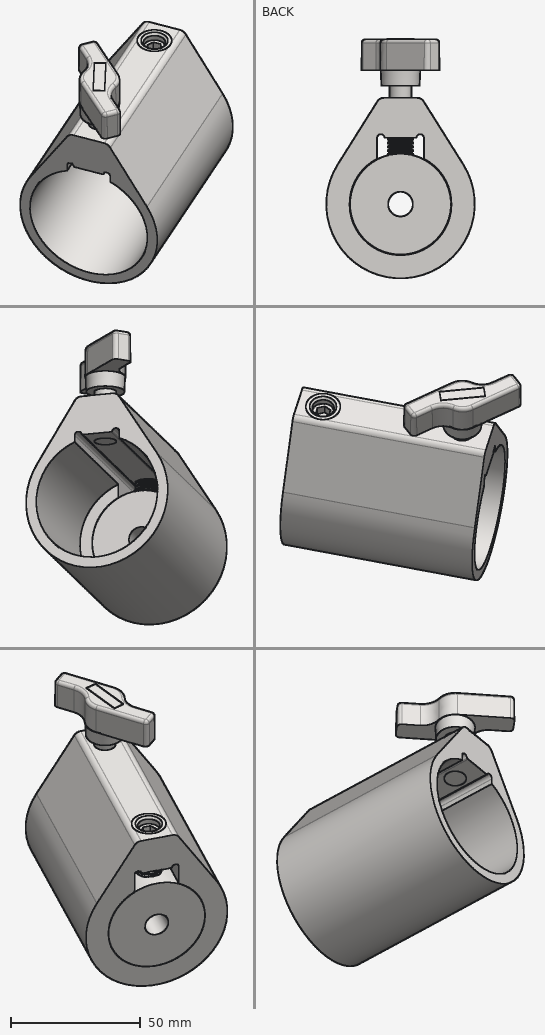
import cadquery as cq
import math

HOUSING_LENGTH = 76.0
OUTER_RADIUS = 28.6
BORE_RADIUS = 24.5
SEAT_RADIUS = 19.6
TOP_Z = 41.0
CORNER_X = 8.0
CORNER_FILLET = 3.0
NOTCH_HALF_WIDTH = 8.95
ROOF_Z = 25.5
RELIEF_RADIUS = 1.4
ROOF_EDGE_FILLET = 0.5

SCREW_TO_REAR = 10.0
INSERT_RADIUS = 6.6
INSERT_LENGTH = 12.0
MOUTH_RADIUS = 5.2
CORE_RADIUS = 4.2
CREST_RADIUS = 5.0
PITCH = 1.5
RIDGE_BASE = 1.1
RIDGE_CREST = 0.3
SCREW_TOP_Z = 37.8
SCREW_END_Z = 17.8
LOWEST_RIDGE_Z = 19.1
HEX_ACROSS_FLATS = 5.2
HEX_DEPTH = 3.7

SPIGOT_RADIUS = 19.5
SPIGOT_HOLE_RADIUS = 4.7

HANDLE_TO_FRONT = 10.9
COLLAR_BOTTOM_Z = 45.5
COLLAR_BOTTOM_RADIUS = 7.4
COLLAR_TOP_RADIUS = 7.7
WING_BOTTOM_Z = 51.5
PLATE_TOP_Z = 63.7
PLATE_HEIGHT = 0.2
PLATE_LENGTH = 17.2
PLATE_WIDTH = 4.4
PLATE_ANGLE = -69.0
WING_ANGLE = -45.0
WING_REACH = 22.3
HUB_RADIUS = 7.8
WING_CORNER_RADIUS = 1.75
WING_DRAFT = 0.6
WING_TOP_FILLET = 1.5

SELECT_MARGIN = 0.1

REAR_Y = HOUSING_LENGTH / 2
FRONT_Y = -HOUSING_LENGTH / 2
SCREW_Y = REAR_Y - SCREW_TO_REAR
INSERT_BOTTOM_Z = TOP_Z - INSERT_LENGTH
SEAT_LENGTH = 2 * SCREW_TO_REAR
HANDLE_Y = FRONT_Y + HANDLE_TO_FRONT
WING_TOP_Z = PLATE_TOP_Z - PLATE_HEIGHT


def cylinder(radius, y, z_low, z_high):
    """Upright cylinder on the middle plane."""
    return cq.Workplane("XY", origin=(0, y, z_low)).circle(radius).extrude(z_high - z_low)


def revolved(profile, y):
    """Solid turned about an upright axis; the profile lists (radius, z) points."""
    return cq.Workplane("XZ", origin=(0, y, 0)).polyline(profile).close().revolve(360, (0, 0), (0, 1))


def section_at(y):
    """Plane across the tube axis; extrusion by a negative length runs toward +Y."""
    return cq.Workplane(cq.Plane(origin=(0, y, 0), xDir=(1, 0, 0), normal=(0, -1, 0)))


def make_housing():
    corner_distance = math.hypot(CORNER_X, TOP_Z)
    tangent_angle = math.atan2(TOP_Z, CORNER_X) - math.acos(OUTER_RADIUS / corner_distance)
    tangent_x = OUTER_RADIUS * math.cos(tangent_angle)
    tangent_z = OUTER_RADIUS * math.sin(tangent_angle)
    body = (
        section_at(FRONT_Y)
        .moveTo(-CORNER_X, TOP_Z)
        .lineTo(CORNER_X, TOP_Z)
        .lineTo(tangent_x, tangent_z)
        .threePointArc((0, -OUTER_RADIUS), (-tangent_x, tangent_z))
        .close()
        .extrude(-HOUSING_LENGTH)
    )
    top_corners = cq.selectors.BoxSelector(
        (-CORNER_X - SELECT_MARGIN, FRONT_Y, TOP_Z - SELECT_MARGIN),
        (CORNER_X + SELECT_MARGIN, REAR_Y, TOP_Z + SELECT_MARGIN),
    )
    body = body.edges("|Y").edges(top_corners).fillet(CORNER_FILLET)

    bore = section_at(FRONT_Y).circle(BORE_RADIUS).extrude(-(HOUSING_LENGTH - SEAT_LENGTH))
    seat = section_at(FRONT_Y).circle(SEAT_RADIUS).extrude(-HOUSING_LENGTH)
    notch = (
        section_at(FRONT_Y)
        .center(0, ROOF_Z / 2)
        .rect(2 * NOTCH_HALF_WIDTH, ROOF_Z)
        .extrude(-HOUSING_LENGTH)
    )
    relief_x = NOTCH_HALF_WIDTH - RELIEF_RADIUS
    reliefs = (
        section_at(FRONT_Y)
        .pushPoints([(-relief_x, ROOF_Z), (relief_x, ROOF_Z)])
        .circle(RELIEF_RADIUS)
        .extrude(-HOUSING_LENGTH)
    )
    body = body.cut(bore).cut(seat).cut(notch).cut(reliefs)
    roof_edge_x = relief_x - RELIEF_RADIUS
    roof_edges = cq.selectors.BoxSelector(
        (-roof_edge_x - SELECT_MARGIN, FRONT_Y, ROOF_Z - SELECT_MARGIN),
        (roof_edge_x + SELECT_MARGIN, REAR_Y, ROOF_Z + SELECT_MARGIN),
    )
    body = body.edges("|Y").edges(roof_edges).fillet(ROOF_EDGE_FILLET)

    insert_hole = cylinder(INSERT_RADIUS, SCREW_Y, INSERT_BOTTOM_Z, TOP_Z)
    screw_hole = cylinder(CREST_RADIUS, SCREW_Y, ROOF_Z, INSERT_BOTTOM_Z)
    stud_hole = cylinder(CORE_RADIUS, HANDLE_Y, ROOF_Z, TOP_Z)
    return body.cut(insert_hole).cut(screw_hole).cut(stud_hole)


def make_set_screw():
    screw = cylinder(CORE_RADIUS, SCREW_Y, SCREW_END_Z, SCREW_TOP_Z)
    ridge_count = 1 + math.floor((SCREW_TOP_Z - RIDGE_BASE / 2 - LOWEST_RIDGE_Z) / PITCH)
    for i in range(ridge_count):
        z = LOWEST_RIDGE_Z + i * PITCH
        ridge = revolved(
            [
                (0, z - RIDGE_BASE / 2),
                (CORE_RADIUS, z - RIDGE_BASE / 2),
                (CREST_RADIUS, z - RIDGE_CREST / 2),
                (CREST_RADIUS, z + RIDGE_CREST / 2),
                (CORE_RADIUS, z + RIDGE_BASE / 2),
                (0, z + RIDGE_BASE / 2),
            ],
            SCREW_Y,
        )
        screw = screw.union(ridge)
    hex_across_corners = HEX_ACROSS_FLATS / math.cos(math.radians(30))
    socket = (
        cq.Workplane("XY", origin=(0, SCREW_Y, SCREW_TOP_Z))
        .polygon(6, hex_across_corners)
        .extrude(-HEX_DEPTH)
    )
    return screw.cut(socket)


def make_insert(screw):
    blank = revolved(
        [
            (CORE_RADIUS, INSERT_BOTTOM_Z),
            (INSERT_RADIUS, INSERT_BOTTOM_Z),
            (INSERT_RADIUS, TOP_Z),
            (MOUTH_RADIUS, TOP_Z),
            (CORE_RADIUS, TOP_Z - (MOUTH_RADIUS - CORE_RADIUS)),
        ],
        SCREW_Y,
    )
    return blank.cut(screw)


def make_spigot():
    spigot = (
        section_at(REAR_Y - SEAT_LENGTH)
        .circle(SPIGOT_RADIUS)
        .circle(SPIGOT_HOLE_RADIUS)
        .extrude(-SEAT_LENGTH)
    )
    return spigot.cut(cylinder(CREST_RADIUS, SCREW_Y, SCREW_END_Z, SPIGOT_RADIUS))


def wing_outline():
    """Point-symmetric outline: a round hub with one wing along each side of it.

    The hollow beside the hub has the hub's radius, so the two arcs meet halfway between their
    centres, 30 degrees from the wing direction.
    """
    hollow_x = 2 * HUB_RADIUS * math.cos(math.radians(30))
    meet = (hollow_x / 2, HUB_RADIUS / 2)
    half_sweep = math.radians(30)
    hollow_mid = (
        hollow_x - HUB_RADIUS * math.sin(half_sweep),
        HUB_RADIUS - HUB_RADIUS * math.cos(half_sweep),
    )
    hub_mid = (HUB_RADIUS * math.sin(half_sweep), HUB_RADIUS * math.cos(half_sweep))

    corner = WING_CORNER_RADIUS
    corner_mid = corner * (1 - math.sqrt(0.5))
    plane = cq.Plane(origin=(0, HANDLE_Y, WING_BOTTOM_Z)).rotated((0, 0, WING_ANGLE))
    outline = cq.Workplane(plane).moveTo(0, -HUB_RADIUS)
    for side in (1, -1):

        def point(x, y):
            return (side * x, side * y)

        outline = (
            outline.lineTo(*point(WING_REACH - corner, -HUB_RADIUS))
            .threePointArc(
                point(WING_REACH - corner_mid, -HUB_RADIUS + corner_mid),
                point(WING_REACH, -HUB_RADIUS + corner),
            )
            .lineTo(*point(WING_REACH, -corner))
            .threePointArc(point(WING_REACH - corner_mid, -corner_mid), point(WING_REACH - corner, 0))
            .lineTo(*point(hollow_x, 0))
            .threePointArc(point(*hollow_mid), point(*meet))
            .threePointArc(point(*hub_mid), point(0, HUB_RADIUS))
        )
    return outline.close()


def make_handle():
    wings = wing_outline().extrude(WING_TOP_Z - WING_BOTTOM_Z, taper=WING_DRAFT)
    wings = wings.faces(">Z").edges().fillet(WING_TOP_FILLET)
    name_plate = (
        cq.Workplane("XY", origin=(0, HANDLE_Y, WING_TOP_Z))
        .transformed(rotate=(0, 0, PLATE_ANGLE))
        .rect(PLATE_LENGTH, PLATE_WIDTH)
        .extrude(PLATE_HEIGHT)
    )
    collar = revolved(
        [
            (0, COLLAR_BOTTOM_Z),
            (COLLAR_BOTTOM_RADIUS, COLLAR_BOTTOM_Z),
            (COLLAR_TOP_RADIUS, WING_BOTTOM_Z),
            (0, WING_BOTTOM_Z),
        ],
        HANDLE_Y,
    )
    stud = cylinder(CORE_RADIUS, HANDLE_Y, ROOF_Z, COLLAR_BOTTOM_Z)
    return wings.union(name_plate).union(collar).union(stud)


housing = make_housing()
set_screw = make_set_screw()
insert = make_insert(set_screw)
spigot = make_spigot()
handle = make_handle()

bodies = [housing, set_screw, insert, spigot, handle]
result = cq.Compound.makeCompound([body.solids().val() for body in bodies])